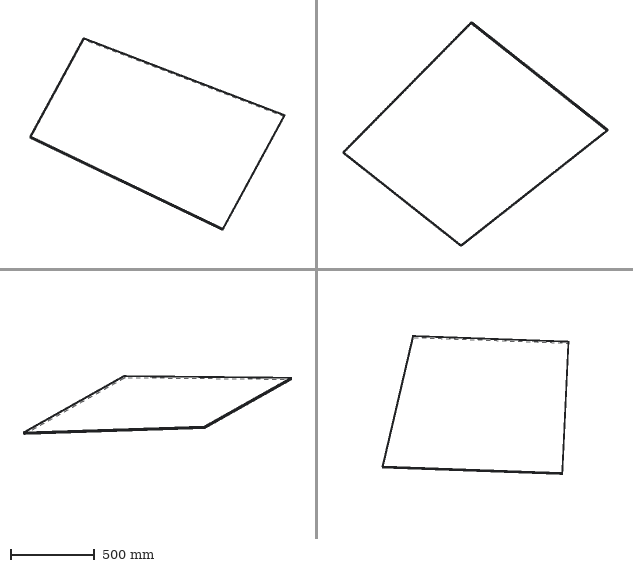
import cadquery as cq
import math

thickness = 10.0
slope_length = 1285.0
high_edge = 931.75
low_edge = 1077.48

slope_angle = 13.32
heading_angle = 6.667

slope = math.radians(slope_angle)
half_run = slope_length * math.cos(slope) / 2
half_drop = slope_length * math.sin(slope) / 2

end_setback = thickness * math.tan(slope)


def below_top(u, z, setback):
    """Bottom corner under a top corner: through the thickness, then along the slope."""
    return (
        u - thickness * math.sin(slope) + setback * math.cos(slope),
        z - thickness * math.cos(slope) - setback * math.sin(slope),
    )


def sloping_slab():
    """Lengthwise section of the panel, bevelled at both ends, across the full width."""
    high_top = (-half_run, half_drop)
    low_top = (half_run, -half_drop)
    high_bottom = below_top(*high_top, end_setback)
    low_bottom = below_top(*low_top, -end_setback)
    section = [high_top, low_top, low_bottom, high_bottom]
    return cq.Workplane("XZ").polyline(section).close().extrude(low_edge / 2, both=True)


def plan_prism():
    """Upright prism on the symmetric trapezoid that the panel covers in plan."""
    outline = [
        (-half_run, -high_edge / 2),
        (half_run, -low_edge / 2),
        (half_run, low_edge / 2),
        (-half_run, high_edge / 2),
    ]
    reach = half_drop + 2 * thickness
    return cq.Workplane("XY").polyline(outline).close().extrude(reach, both=True)


panel = sloping_slab().intersect(plan_prism())
result = panel.rotate((0, 0, 0), (0, 0, 1), heading_angle)